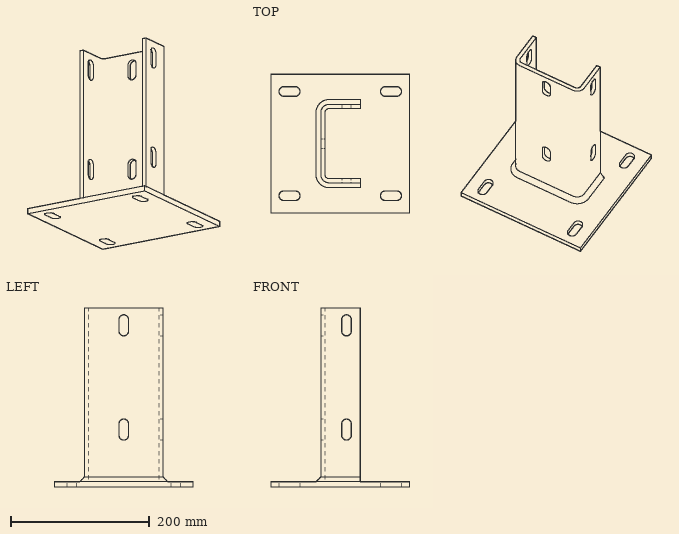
import cadquery as cq

plate_size = 200.0
plate_thickness = 8.0

web_x = -28.0
channel_depth = 57.0
channel_width = 113.0
channel_height = 250.0
wall = 6.0
inner_bend_radius = 6.0
outer_bend_radius = inner_bend_radius + wall

weld_leg = 7.0

slot_length = 30.0
slot_width = 13.5
plate_slot_spacing_x = 146.0
plate_slot_spacing_y = 150.0
channel_slot_spacing = 150.0
upper_slot_below_top = 25.0
flange_slot_x = 9.0
upright = 90

open_x = web_x + channel_depth
total_height = plate_thickness + channel_height
upper_slot_z = total_height - upper_slot_below_top
channel_slot_heights = (upper_slot_z - channel_slot_spacing, upper_slot_z)


def rounded_block(wall_inset, corner_radius):
    """Channel-high block set in from the outer faces, rounded on its two web corners."""
    length = channel_depth - wall_inset
    width = channel_width - 2 * wall_inset
    return (
        cq.Workplane("XY", origin=(open_x - length / 2, 0, plate_thickness))
        .rect(length, width)
        .extrude(channel_height)
        .edges("|Z and <X")
        .fillet(corner_radius)
    )


def make_plate():
    plate = cq.Workplane("XY").rect(plate_size, plate_size).extrude(plate_thickness)
    slots = (
        cq.Workplane("XY")
        .rarray(plate_slot_spacing_x, plate_slot_spacing_y, 2, 2)
        .slot2D(slot_length, slot_width)
        .extrude(plate_thickness)
    )
    return plate.cut(slots)


def make_weld():
    """Triangular weld section swept along the channel's outer foot, flush with the flange ends."""
    half_width = channel_width / 2
    path = (
        cq.Workplane("XY", origin=(0, 0, plate_thickness))
        .moveTo(open_x, -half_width)
        .lineTo(web_x + outer_bend_radius, -half_width)
        .radiusArc((web_x, -half_width + outer_bend_radius), outer_bend_radius)
        .lineTo(web_x, half_width - outer_bend_radius)
        .radiusArc((web_x + outer_bend_radius, half_width), outer_bend_radius)
        .lineTo(open_x, half_width)
    )
    section = (
        cq.Workplane("YZ", origin=(open_x, -half_width, plate_thickness))
        .lineTo(-weld_leg, 0)
        .lineTo(0, weld_leg)
        .close()
    )
    return section.sweep(path)


def channel_slots():
    """Vertical slot cutters through the web and through both flanges."""
    flange_points = [(flange_slot_x, z) for z in channel_slot_heights]
    web_points = [(0, z) for z in channel_slot_heights]
    flange_slots = (
        cq.Workplane("XZ")
        .pushPoints(flange_points)
        .slot2D(slot_length, slot_width, upright)
        .extrude(channel_width / 2, both=True)
    )
    web_slots = (
        cq.Workplane("YZ", origin=(web_x, 0, 0))
        .pushPoints(web_points)
        .slot2D(slot_length, slot_width, upright)
        .extrude(wall)
    )
    return flange_slots.union(web_slots)


def make_channel():
    outside = rounded_block(0, outer_bend_radius)
    inside = rounded_block(wall, inner_bend_radius)
    return outside.cut(inside).cut(channel_slots())


result = make_plate().union(make_channel()).union(make_weld())